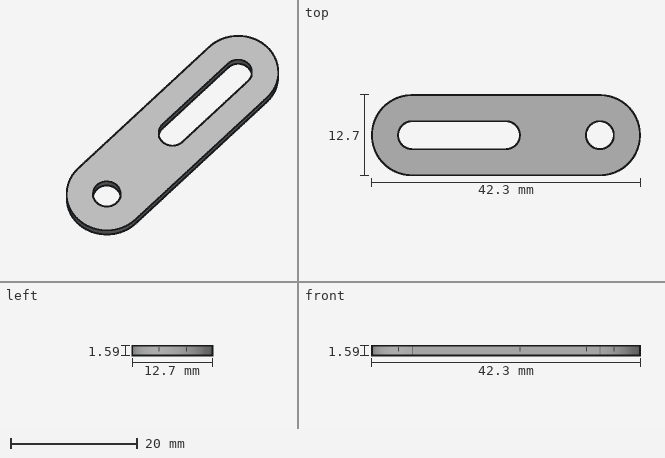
import cadquery as cq

plate_length = 42.34
plate_width = 12.7
plate_thickness = 1.59

opening_diameter = 4.37

end_center_x = (plate_length - plate_width) / 2
slot_length = end_center_x + opening_diameter
slot_center_x = -end_center_x / 2


def make_plate():
    """Flat plate with full-round ends, resting on Z = 0."""
    return cq.Workplane("XY").slot2D(plate_length, plate_width).extrude(plate_thickness)


def make_slot():
    """Through slot running from the -X round end to the middle of the plate."""
    return (
        cq.Workplane("XY")
        .center(slot_center_x, 0)
        .slot2D(slot_length, opening_diameter)
        .extrude(plate_thickness)
    )


def make_hole():
    """Through hole at the +X round end."""
    return (
        cq.Workplane("XY")
        .center(end_center_x, 0)
        .circle(opening_diameter / 2)
        .extrude(plate_thickness)
    )


result = make_plate().cut(make_slot()).cut(make_hole())